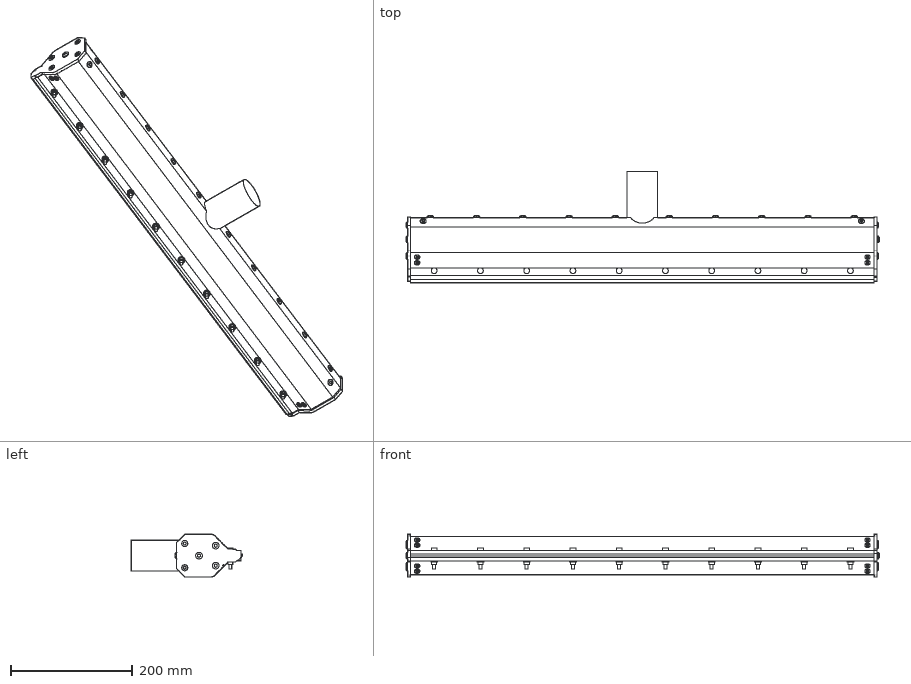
import cadquery as cq

total_length = 779.86
total_depth = 183.59
plate_height = 71.13

tube_diameter = 50.8
tube_length = 76.2
tip_y = tube_length - total_depth

body_length = 764.0
body_half_height = 31.75
back_chamfer = 15.4
shoulder_y = -57.8
lip_back_y = -82.8
lip_half_height = 8.5
lip_front_y = -95.1
blade_back_y = -101.5
blade_top_z = 2.6
blade_bottom_z = -3.0
blade_bevel = 2.0

plate_thickness = 4.8
plate_half_height = plate_height / 2
plate_back_y = 1.2
plate_back_chamfer = 14.0
plate_shoulder_y = -59.3
plate_shoulder_radius = 12.0
plate_lip_half_height = 10.6
plate_lip_front_y = -98.0
plate_nose_y = -105.0
plate_nose_chamfer_depth = 6.0
plate_nose_chamfer_height = 5.0
plate_outer_x = body_length / 2 + plate_thickness

small_head = (10.0, 2.4)
large_head = (11.0, 2.4)
back_head = (10.5, 3.6)
slope_head = (9.0, 2.6)
proud_head = (11.0, total_length - 2 * plate_outer_x - large_head[1])
rim_height_ratio = 1 / 3
socket_ratio = 0.5
socket_depth_ratio = 0.6
dome_middle_ratio = 0.8
seat_overlap = 0.5

row_pitch = 76.2
lip_bolt_count = 10
back_row_inner_x = 44.45
back_screws_per_side = 5
plate_back_screw = (-12.3, 20.0)
plate_front_screw = (-63.3, 16.5)
plate_centre_screw = (-35.8, 0.0)
slope_screw_x = 371.0
slope_screw_ys = (-64.6, -74.0)
chamfer_screw_x = 361.0
chamfer_screw_y = -6.2
lip_bolt_y = -87.4

bolt_head_diameter = 9.5
bolt_head_height = 4.4
washer_diameter = 11.0
washer_height = 2.4
nut_diameter = 8.5
nut_height = 4.1
bolt_diameter = 5.0
bolt_end_z = -22.3


def extrude_along_x(profile, start_x, length):
    """Prism along +X from an outline of (y, z) points."""
    return cq.Workplane("YZ", origin=(start_x, 0, 0)).polyline(profile).close().extrude(length)


def mirrored_in_z(points):
    """The same points below the z = 0 plane, in reverse order."""
    return [(y, -z) for y, z in reversed(points)]


def screw_head(position, direction, size):
    """Button head with a domed top and a hex socket, seated on a face at the given position."""
    diameter, height = size
    radius = diameter / 2
    rim = height * rim_height_ratio
    dome_middle = (radius * dome_middle_ratio, height * dome_middle_ratio)
    head = (
        cq.Workplane("XZ")
        .moveTo(0, -seat_overlap)
        .lineTo(radius, -seat_overlap)
        .lineTo(radius, rim)
        .threePointArc(dome_middle, (radius * socket_ratio, height))
        .lineTo(0, height)
        .close()
        .revolve(360, (0, 0), (0, 1))
    )
    socket = (
        cq.Workplane("XY", origin=(0, 0, height * (1 - socket_depth_ratio)))
        .polygon(6, diameter * socket_ratio)
        .extrude(height)
    )
    seat = cq.Plane(origin=position, normal=direction)
    return head.cut(socket).val().moved(cq.Location(seat))


def make_body():
    """Solid bar that narrows to a thin blade at the front."""
    upper = [
        (0, body_half_height - back_chamfer),
        (-back_chamfer, body_half_height),
        (shoulder_y, body_half_height),
        (lip_back_y, lip_half_height),
        (lip_front_y, lip_half_height),
    ]
    nose = [
        (blade_back_y, blade_top_z),
        (tip_y, blade_top_z),
        (tip_y, blade_bottom_z + blade_bevel),
        (tip_y + blade_bevel, blade_bottom_z),
        (blade_back_y, blade_bottom_z),
    ]
    return extrude_along_x(upper + nose + mirrored_in_z(upper), -body_length / 2, body_length)


def make_tube():
    """Round inlet that starts inside the bar and leaves through its back face."""
    root_y = -back_chamfer
    return (
        cq.Workplane("XZ", origin=(0, root_y, 0))
        .circle(tube_diameter / 2)
        .extrude(-(tube_length - root_y))
    )


def make_left_plate():
    """Cover plate of the -X end, with its lower nose corner cut off."""
    lip_back = plate_shoulder_y - (plate_half_height - plate_lip_half_height)
    step = plate_lip_half_height - lip_half_height
    upper = [
        (plate_back_y, plate_half_height - plate_back_chamfer),
        (plate_back_y - plate_back_chamfer, plate_half_height),
        (plate_shoulder_y, plate_half_height),
        (lip_back, plate_lip_half_height),
        (plate_lip_front_y + step, plate_lip_half_height),
        (plate_lip_front_y, lip_half_height),
    ]
    nose = [
        (plate_nose_y, lip_half_height),
        (plate_nose_y, plate_nose_chamfer_height - lip_half_height),
        (plate_nose_y + plate_nose_chamfer_depth, -lip_half_height),
    ]
    plate = extrude_along_x(upper + nose + mirrored_in_z(upper), -plate_outer_x, plate_thickness)
    margin = plate_thickness / 2
    shoulders = cq.selectors.BoxSelector(
        (-plate_outer_x - margin, plate_shoulder_y - margin, -plate_height),
        (-body_length / 2 + margin, plate_shoulder_y + margin, plate_height),
    )
    return plate.edges("|X").edges(shoulders).fillet(plate_shoulder_radius)


def make_plate_screws(side):
    """Five heads on one end plate; side is -1 for the -X plate and 1 for the +X plate."""
    centre_head = proud_head if side > 0 else large_head
    places = [(plate_centre_screw, centre_head)]
    for sign in (1, -1):
        for (y, z), size in ((plate_back_screw, small_head), (plate_front_screw, large_head)):
            places.append(((y, sign * z), size))
    return [screw_head((side * plate_outer_x, y, z), (side, 0, 0), size) for (y, z), size in places]


def make_back_screws():
    """Two rows of heads on the back face, one on each side of the tube."""
    heads = []
    for side in (-1, 1):
        for index in range(back_screws_per_side):
            x = side * (back_row_inner_x + index * row_pitch)
            heads.append(screw_head((x, 0, 0), (0, 1, 0), back_head))
    return heads


def make_slope_screws():
    """Paired heads on the front slopes and single heads on the back chamfers, near both ends."""
    run = shoulder_y - lip_back_y
    drop = body_half_height - lip_half_height
    heads = []
    for side in (-1, 1):
        for sign in (1, -1):
            for y in slope_screw_ys:
                z = body_half_height - (shoulder_y - y) * drop / run
                position = (side * slope_screw_x, y, sign * z)
                heads.append(screw_head(position, (0, -drop, sign * run), slope_head))
            z = body_half_height - back_chamfer - chamfer_screw_y
            position = (side * chamfer_screw_x, chamfer_screw_y, sign * z)
            heads.append(screw_head(position, (0, 1, sign), small_head))
    return heads


def lip_bolt_cylinder(x, top_z, bottom_z, diameter):
    """Vertical cylinder on the axis of the lip bolt at the given x."""
    return cq.Solid.makeCylinder(
        diameter / 2, top_z - bottom_z, cq.Vector(x, lip_bolt_y, bottom_z), cq.Vector(0, 0, 1)
    )


def make_lip_bolts():
    """Row of bolts through the lip, each with its head on top, and a washer and nut below."""
    head_z = lip_half_height + bolt_head_height
    washer_z = -lip_half_height - washer_height
    nut_z = washer_z - nut_height
    parts = []
    for index in range(lip_bolt_count):
        x = (index - (lip_bolt_count - 1) / 2) * row_pitch
        parts.append(lip_bolt_cylinder(x, head_z, 0, bolt_head_diameter))
        parts.append(lip_bolt_cylinder(x, 0, washer_z, washer_diameter))
        parts.append(lip_bolt_cylinder(x, 0, nut_z, nut_diameter))
        parts.append(lip_bolt_cylinder(x, 0, bolt_end_z, bolt_diameter))
    return parts


left_plate = make_left_plate()
right_plate = left_plate.rotate((0, 0, 0), (0, 1, 0), 180)
fasteners = make_back_screws() + make_slope_screws() + make_lip_bolts()
for plate_side in (-1, 1):
    fasteners += make_plate_screws(plate_side)

assembly = make_body().union(make_tube()).union(left_plate).union(right_plate)
result = cq.Workplane(assembly.val().fuse(*fasteners))